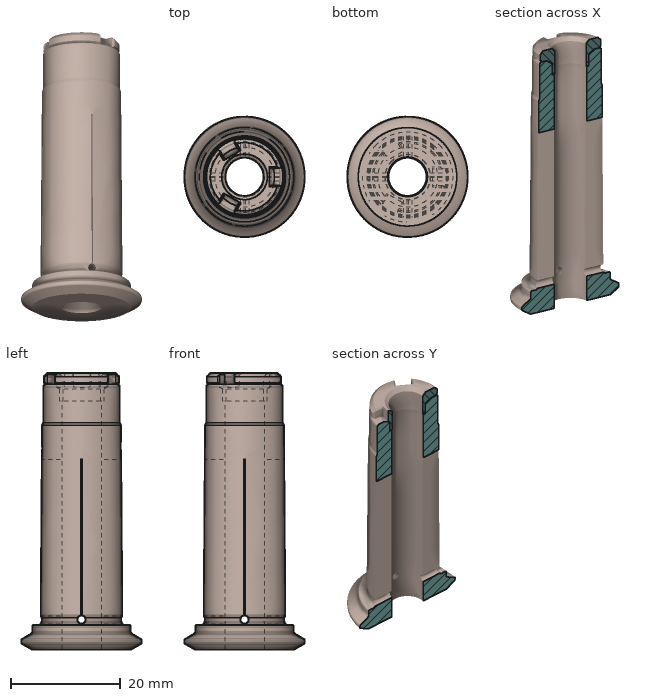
import cadquery as cq
import math

rim_radius = 11.0
base_radius = 9.0
cone_angle = math.radians(30)
cone_rise = (rim_radius - base_radius) * math.tan(cone_angle)
rim_land = 0.7
rim_fillet = 0.33
step_radius = base_radius
step_top = 4.55
step_edge_fillet = 0.3
step_root_fillet = 0.45

root_outer_radius = 8.25
groove_radius = 7.3
groove_bottom = 5.15
groove_top = 5.85
lip_height = 6.0
lip_radius = 7.35
barrel_bottom = 6.35
barrel_bottom_radius = 7.45
barrel_top = 40.9
barrel_top_radius = 7.2
neck_radius = 7.0
neck_bottom = 41.4
shoulder_bottom = 48.0
shoulder_radius = 6.45
seam_height = 48.45

sleeve_bore_radius = 7.2 / 2
stem_radius = 8.2 / 2
stem_bottom = 45.45
seat_radius = 10.9 / 2
seat_angle = math.radians(30)
seat_bottom = seam_height - (seat_radius - stem_radius) * math.tan(seat_angle)

cross_hole_diameter = 1.45
cross_hole_height = 5.5
slit_width = 0.2
slit_top = 34.75
slit_count = 4

total_height = 50.5
cap_radius = 6.9
cap_bore_radius = 6.9 / 2
cap_top_chamfer = 0.7
cap_lower_edge = 48.75
cap_foot_radius = 6.45
bore_chamfer = 0.7
notch_count = 3
notch_width = 3.05
notch_chamfer = 0.3
notch_wall_distance = 4.5


def hollow_arc(start, end):
    """Middle point of the concave arc from start that ends upright at end, further in and higher."""
    run = start[0] - end[0]
    rise = end[1] - start[1]
    radius = (run**2 + rise**2) / (2 * run)
    half_turn = (math.pi - math.acos((run - radius) / radius)) / 2
    return (
        end[0] + radius * (1 - math.cos(half_turn)),
        end[1] - radius * math.sin(half_turn),
    )


def shoulder_arc(start, end):
    """Middle point of the convex arc that rises inward from start and is level at end."""
    run = start[0] - end[0]
    rise = end[1] - start[1]
    radius = (run**2 + rise**2) / (2 * rise)
    half_turn = math.asin(run / radius) / 2
    return (
        end[0] + radius * math.sin(half_turn),
        end[1] - radius * (1 - math.cos(half_turn)),
    )


def fillet_ring(body, radius, height, fillet_radius):
    """Round the circular edge found at the given radius and height."""
    margin = 0.05
    ring_box = cq.selectors.BoxSelector(
        (-radius - margin, -radius - margin, height - margin),
        (radius + margin, radius + margin, height + margin),
        boundingbox=True,
    )
    outermost = cq.selectors.RadiusNthSelector(-1)
    return body.newObject(body.edges(ring_box).edges(outermost).vals()).fillet(fillet_radius)


def make_flange():
    """Double-coned flange with the short step on top, hollowed around the barrel's foot."""
    rim_bottom = cone_rise
    rim_top = rim_bottom + rim_land
    root_start = (root_outer_radius, step_top)
    root_end = (groove_radius, groove_bottom)
    step_bottom = rim_top + (rim_radius - step_radius) * math.tan(cone_angle)
    flange = (
        cq.Workplane("XZ")
        .moveTo(0, 0)
        .lineTo(base_radius, 0)
        .lineTo(rim_radius, rim_bottom)
        .lineTo(rim_radius, rim_top)
        .lineTo(step_radius, step_bottom)
        .lineTo(step_radius, step_top)
        .lineTo(*root_start)
        .threePointArc(hollow_arc(root_start, root_end), root_end)
        .lineTo(0, groove_bottom)
        .close()
        .revolve()
    )
    flange = fillet_ring(flange, rim_radius, rim_bottom, rim_fillet)
    flange = fillet_ring(flange, rim_radius, rim_top, rim_fillet)
    flange = fillet_ring(flange, step_radius, step_bottom, step_root_fillet)
    return fillet_ring(flange, step_radius, step_top, step_edge_fillet)


def make_barrel():
    """Grooved, slightly tapered barrel with the neck, standing on the flange."""
    shoulder_start = (neck_radius, shoulder_bottom)
    shoulder_end = (shoulder_radius, seam_height)
    return (
        cq.Workplane("XZ")
        .moveTo(0, groove_bottom)
        .lineTo(groove_radius, groove_bottom)
        .lineTo(groove_radius, groove_top)
        .lineTo(lip_radius, lip_height)
        .lineTo(barrel_bottom_radius, barrel_bottom)
        .lineTo(barrel_top_radius, barrel_top)
        .lineTo(neck_radius, neck_bottom)
        .lineTo(*shoulder_start)
        .threePointArc(shoulder_arc(shoulder_start, shoulder_end), shoulder_end)
        .lineTo(0, seam_height)
        .close()
        .revolve()
    )


def make_sleeve_bore():
    """Through bore, wider where the cap's stem sits and coned at the mouth."""
    return (
        cq.Workplane("XZ")
        .moveTo(0, 0)
        .lineTo(sleeve_bore_radius, 0)
        .lineTo(sleeve_bore_radius, stem_bottom)
        .lineTo(stem_radius, stem_bottom)
        .lineTo(stem_radius, seat_bottom)
        .lineTo(seat_radius, seam_height)
        .lineTo(0, seam_height)
        .close()
        .revolve()
    )


def make_slit(angle):
    """Slit from the bore outwards with the cross hole at its lower end."""
    slit_height = slit_top - cross_hole_height
    slit = cq.Workplane("XY").box(
        rim_radius, slit_width, slit_height, centered=(False, True, False)
    )
    cross_hole = cq.Workplane("YZ").circle(cross_hole_diameter / 2).extrude(rim_radius)
    return (
        slit.union(cross_hole)
        .translate((0, 0, cross_hole_height))
        .rotate((0, 0, 0), (0, 0, 1), angle)
    )


def make_sleeve():
    """Flanged sleeve, bored through and slit lengthwise."""
    sleeve = make_flange().union(make_barrel()).cut(make_sleeve_bore())
    for index in range(slit_count):
        sleeve = sleeve.cut(make_slit(index * 360 / slit_count))
    return sleeve


def make_notch(angle):
    """Notch through the cap's edge, its side walls chamfered at the top and at the outer ends."""
    half_width = notch_width / 2
    half_mouth = half_width + notch_chamfer
    chamfer_start = total_height - notch_chamfer
    mouth_distance = math.sqrt(cap_radius**2 - half_mouth**2)
    notch = (
        cq.Workplane("YZ", origin=(notch_wall_distance, 0, 0))
        .moveTo(-half_width, stem_bottom)
        .lineTo(half_width, stem_bottom)
        .lineTo(half_width, chamfer_start)
        .lineTo(half_mouth, total_height)
        .lineTo(-half_mouth, total_height)
        .lineTo(-half_width, chamfer_start)
        .close()
        .extrude(cap_radius)
    )
    mouth = (
        cq.Workplane("XY", origin=(0, 0, stem_bottom))
        .moveTo(mouth_distance - notch_chamfer, -half_width)
        .lineTo(mouth_distance, -half_mouth)
        .lineTo(cap_radius, -half_mouth)
        .lineTo(cap_radius, half_mouth)
        .lineTo(mouth_distance, half_mouth)
        .lineTo(mouth_distance - notch_chamfer, half_width)
        .close()
        .extrude(total_height - stem_bottom)
    )
    return notch.union(mouth).rotate((0, 0, 0), (0, 0, 1), angle)


def make_cap():
    """Notched head with a conical seat and a hollow stem."""
    cap = (
        cq.Workplane("XZ")
        .moveTo(cap_bore_radius, stem_bottom)
        .lineTo(stem_radius, stem_bottom)
        .lineTo(stem_radius, seat_bottom)
        .lineTo(seat_radius, seam_height)
        .lineTo(cap_foot_radius, seam_height)
        .lineTo(cap_radius, cap_lower_edge)
        .lineTo(cap_radius, total_height - cap_top_chamfer)
        .lineTo(cap_radius - cap_top_chamfer, total_height)
        .lineTo(cap_bore_radius + bore_chamfer, total_height)
        .lineTo(cap_bore_radius, total_height - bore_chamfer)
        .close()
        .revolve()
    )
    for index in range(notch_count):
        cap = cap.cut(make_notch(index * 360 / notch_count))
    return cap


sleeve = make_sleeve()
cap = make_cap()
result = cq.Compound.makeCompound([sleeve.val(), cap.val()])